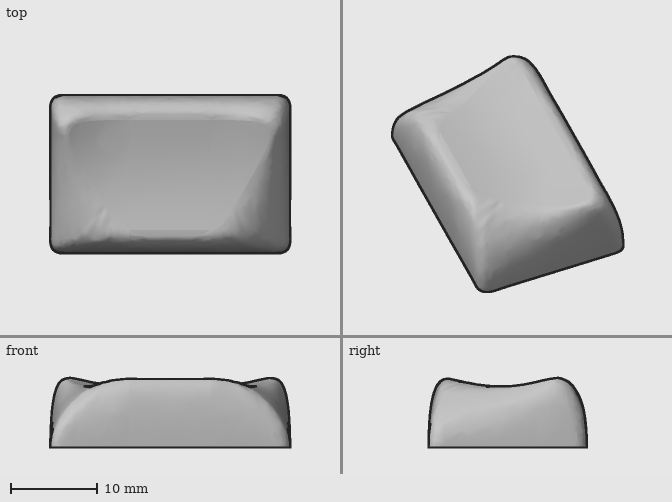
import cadquery as cq
import math

shapes = cq.occ_impl.shapes

LENGTH = 27.88
WIDTH = 18.4
BASE_CORNER_RADIUS = 1.35

MIDDLE_HALF_LENGTH = 4.77
BORDER_FRONT_Y = -6.5
BORDER_BACK_Y = 6.27

DISH_LOW_Y = 1.88
DISH_LOW_Z = 6.85
DISH_RADIUS = 32.7
RISE_LEVEL_Y = -10.0
RISE_FULL_Y = 5.44
RISE_FULL = 0.0225
FLANK_GUIDES = [(6.5, -3.0), (7.0, 0.0), (7.0, 4.0), (9.0, 1.5), (9.0, 4.5)]

SLOPE_STEP = 0.01

FRONT_FULLNESS = (6.1, 0.69)
FRONT_CORNER_FULLNESS = (3.6, 0.45)
SIDE_FULLNESS = (6.0, 0.6)
BACK_CORNER_FULLNESS = (5.0, 0.45)
BACK_FULLNESS = (5.4, 0.6)

PROFILE_STEPS = 6
SEWING_GAP = 0.001


def fullness_between(first, second, share):
    """Fullness that lies the given share of the way from the first to the second."""
    return tuple(a + (b - a) * share for a, b in zip(first, second))


def flank_stations():
    """Base point, dish border point and fullness of each wall profile, from front to back."""
    side_x = LENGTH / 2
    end_y = WIDTH / 2
    arc_x = side_x - BASE_CORNER_RADIUS
    arc_y = end_y - BASE_CORNER_RADIUS
    arc_middle = BASE_CORNER_RADIUS * math.sqrt(0.5)

    def front_to_corner(share):
        return fullness_between(FRONT_FULLNESS, FRONT_CORNER_FULLNESS, share)

    def corner_to_side(share):
        return fullness_between(FRONT_CORNER_FULLNESS, SIDE_FULLNESS, share)

    front = [
        ((MIDDLE_HALF_LENGTH, -end_y), (MIDDLE_HALF_LENGTH, BORDER_FRONT_Y), FRONT_FULLNESS),
        ((8.7, -end_y), (5.4, -6.38), front_to_corner(0.45)),
        ((11.9, -end_y), (5.68, -6.2), front_to_corner(0.85)),
    ]
    front_corner = [
        ((arc_x, -end_y), (5.92, -6.0), FRONT_CORNER_FULLNESS),
        ((arc_x + arc_middle, -arc_y - arc_middle), (6.3, -5.55), FRONT_CORNER_FULLNESS),
        ((side_x, -arc_y), (6.72, -4.95), FRONT_CORNER_FULLNESS),
    ]
    side = [
        ((side_x, -7.1), (7.15, -4.25), corner_to_side(0.1)),
        ((side_x, -3.5), (8.68, -1.65), corner_to_side(0.4)),
        ((side_x, 1.0), (10.36, 1.25), corner_to_side(0.7)),
        ((side_x, 5.0), (11.45, 3.6), SIDE_FULLNESS),
        ((side_x, 7.4), (11.64, 4.4), SIDE_FULLNESS),
    ]
    back_corner = [
        ((side_x, arc_y), (11.65, 4.75), fullness_between(SIDE_FULLNESS, BACK_CORNER_FULLNESS, 0.5)),
        ((arc_x + arc_middle, arc_y + arc_middle), (11.35, 5.4), BACK_CORNER_FULLNESS),
        ((arc_x, end_y), (10.5, 5.92), BACK_CORNER_FULLNESS),
    ]
    back = [
        ((12.2, end_y), (10.15, 6.01), fullness_between(BACK_CORNER_FULLNESS, BACK_FULLNESS, 0.2)),
        ((8.5, end_y), (7.5, 6.23), fullness_between(BACK_CORNER_FULLNESS, BACK_FULLNESS, 0.7)),
        ((MIDDLE_HALF_LENGTH, end_y), (MIDDLE_HALF_LENGTH, BORDER_BACK_Y), BACK_FULLNESS),
    ]
    return front + front_corner + side + back_corner + back


def dish_point(x, y):
    """Point of the dish above (x, y) in the middle or the right flank."""
    middle_z = DISH_LOW_Z + DISH_RADIUS - math.sqrt(DISH_RADIUS**2 - (y - DISH_LOW_Y) ** 2)
    steepness = ((y - RISE_LEVEL_Y) / (RISE_FULL_Y - RISE_LEVEL_Y)) ** 2
    beyond_middle = max(x - MIDDLE_HALF_LENGTH, 0)
    return cq.Vector(x, y, middle_z + RISE_FULL * steepness * beyond_middle**2)


def profile_point(station, share):
    """Point on the wall profile of a station, from the base (0) to the dish border (1)."""
    base_xy, border_xy, (handle_height, handle_reach) = station
    base = cq.Vector(*base_xy, 0)
    border = dish_point(*border_xy)
    run = cq.Vector(base.x - border.x, base.y - border.y, 0)
    step_out = dish_point(border.x + run.x * SLOPE_STEP, border.y + run.y * SLOPE_STEP)
    base_handle = base + cq.Vector(0, 0, handle_height)
    border_handle = border + (step_out - border) * (handle_reach / SLOPE_STEP)
    rest = 1 - share
    return (
        base * rest**3
        + base_handle * (3 * rest**2 * share)
        + border_handle * (3 * rest * share**2)
        + border * share**3
    )


def flank_curve(stations, share):
    """Curve round the right flank through the same share of every wall profile."""
    return cq.Edge.makeSpline(
        [profile_point(station, share) for station in stations],
        tangents=[cq.Vector(1, 0, 0), cq.Vector(-1, 0, 0)],
        scale=False,
    )


def mirrored(shape):
    """The same shape on the left half of the keycap."""
    return shape.mirror("YZ")


def across_middle(point):
    """Straight edge along X from the mirror image of a point to the point."""
    return cq.Edge.makeLine(cq.Vector(-point.x, point.y, point.z), point)


def loft_face(edges):
    return shapes.loft(edges).Faces()[0]


def make_walls(flank_curves):
    right = loft_face(flank_curves)
    front = loft_face([across_middle(curve.startPoint()) for curve in flank_curves])
    back = loft_face([across_middle(curve.endPoint()) for curve in flank_curves])
    return [right, mirrored(right), front, back]


def make_base(outline):
    front = across_middle(outline.startPoint())
    back = across_middle(outline.endPoint())
    return cq.Face.makeFromWires(cq.Wire.assembleEdges([front, outline, back, mirrored(outline)]))


def make_dish(border):
    arc_low = dish_point(MIDDLE_HALF_LENGTH, DISH_LOW_Y)
    arc = cq.Edge.makeThreePointArc(border.startPoint(), arc_low, border.endPoint())
    middle = cq.Face.makeRuledSurface(mirrored(arc), arc)
    guides = [dish_point(x, y) for x, y in FLANK_GUIDES]
    flank = cq.Face.makeNSidedSurface([border, arc], guides)
    return [middle, flank, mirrored(flank)]


def make_keycap():
    stations = flank_stations()
    flank_curves = [flank_curve(stations, i / PROFILE_STEPS) for i in range(PROFILE_STEPS + 1)]
    faces = make_walls(flank_curves)
    faces += make_dish(flank_curves[-1])
    faces.append(make_base(flank_curves[0]))
    return shapes.solid(shapes.shell(faces, tol=SEWING_GAP))


result = cq.Workplane(make_keycap())